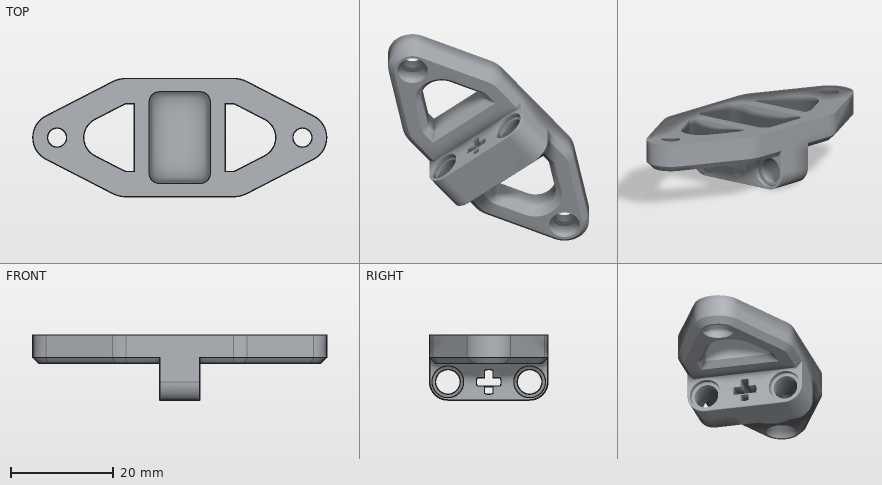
import cadquery as cq
import math

LENGTH = 57.6
WIDTH = 23.2
PLATE_HEIGHT = 5.6
EDGE_CHAMFER = 1.2

SCREW_SPACING = 48.05
SCREW_X = SCREW_SPACING / 2
TIP_RADIUS = LENGTH / 2 - SCREW_X
SHOULDER_X = 10.5
SHOULDER_RADIUS = 5.9

SCREW_DIAMETER = 3.7
SCREW_HEAD_DIAMETER = 6.0
SCREW_SEAT_HEIGHT = 2.0

FRAME_WIDTH = 5.0
WINDOW_TIP_X = 18.8
WINDOW_INNER_X = 8.9

POCKET_LENGTH = 12.0
POCKET_WIDTH = 18.0
POCKET_DEPTH = 4.0
POCKET_CORNER_RADIUS = 2.0

BEAM_HEIGHT = 7.2
BEAM_THICKNESS = 8.0
BEAM_CORNER_RADIUS = BEAM_HEIGHT / 2
BEAM_END_CHAMFER = 0.1
BEAM_AXIS_Z = -BEAM_HEIGHT / 2
PIN_SPACING = 16.0
PIN_DIAMETER = 4.8
PIN_RIM_DIAMETER = 6.2
PIN_RIM_DEPTH = 0.9

AXLE_SPAN = 4.8
AXLE_ARM_WIDTH = 1.6
SHEET_THICKNESS = 0.2

SHOULDER_Y = WIDTH / 2 - SHOULDER_RADIUS
CENTER_DISTANCE = math.hypot(SCREW_X - SHOULDER_X, SHOULDER_Y)
SLOPE_ANGLE = (
    math.atan2(SHOULDER_Y, SCREW_X - SHOULDER_X)
    + math.asin((SHOULDER_RADIUS - TIP_RADIUS) / CENTER_DISTANCE)
)
NORMAL_X = math.sin(SLOPE_ANGLE)
NORMAL_Y = math.cos(SLOPE_ANGLE)


def plate_outline():
    """Rounded hexagon on the plate's bottom plane."""
    tip_x = SCREW_X + TIP_RADIUS * NORMAL_X
    tip_y = TIP_RADIUS * NORMAL_Y
    shoulder_x = SHOULDER_X + SHOULDER_RADIUS * NORMAL_X
    shoulder_y = SHOULDER_Y + SHOULDER_RADIUS * NORMAL_Y
    middle_x = SHOULDER_X + SHOULDER_RADIUS * math.sin(SLOPE_ANGLE / 2)
    middle_y = SHOULDER_Y + SHOULDER_RADIUS * math.cos(SLOPE_ANGLE / 2)
    edge_y = WIDTH / 2
    return (
        cq.Workplane("XY")
        .moveTo(-SHOULDER_X, edge_y)
        .lineTo(SHOULDER_X, edge_y)
        .threePointArc((middle_x, middle_y), (shoulder_x, shoulder_y))
        .lineTo(tip_x, tip_y)
        .threePointArc((LENGTH / 2, 0), (tip_x, -tip_y))
        .lineTo(shoulder_x, -shoulder_y)
        .threePointArc((middle_x, -middle_y), (SHOULDER_X, -edge_y))
        .lineTo(-SHOULDER_X, -edge_y)
        .threePointArc((-middle_x, -middle_y), (-shoulder_x, -shoulder_y))
        .lineTo(-tip_x, -tip_y)
        .threePointArc((-LENGTH / 2, 0), (-tip_x, tip_y))
        .lineTo(-shoulder_x, shoulder_y)
        .threePointArc((-middle_x, middle_y), (-SHOULDER_X, edge_y))
        .close()
    )


def window(side):
    """Opening on one side (+1 or -1), inset from the plate outline by the frame width."""
    corner_radius = SHOULDER_RADIUS - FRAME_WIDTH
    slope_offset = SCREW_X * NORMAL_X + TIP_RADIUS - FRAME_WIDTH
    tip_radius = (slope_offset - WINDOW_TIP_X * NORMAL_X) / (1 - NORMAL_X)
    tip_x = WINDOW_TIP_X - tip_radius * (1 - NORMAL_X)
    tip_y = tip_radius * NORMAL_Y
    corner_x = SHOULDER_X + corner_radius * NORMAL_X
    corner_y = SHOULDER_Y + corner_radius * NORMAL_Y
    middle_x = SHOULDER_X + corner_radius * math.sin(SLOPE_ANGLE / 2)
    middle_y = SHOULDER_Y + corner_radius * math.cos(SLOPE_ANGLE / 2)
    edge_y = WIDTH / 2 - FRAME_WIDTH
    return (
        cq.Workplane("XY")
        .moveTo(side * WINDOW_INNER_X, edge_y)
        .lineTo(side * SHOULDER_X, edge_y)
        .threePointArc((side * middle_x, middle_y), (side * corner_x, corner_y))
        .lineTo(side * tip_x, tip_y)
        .threePointArc((side * WINDOW_TIP_X, 0), (side * tip_x, -tip_y))
        .lineTo(side * corner_x, -corner_y)
        .threePointArc((side * middle_x, -middle_y), (side * SHOULDER_X, -edge_y))
        .lineTo(side * WINDOW_INNER_X, -edge_y)
        .close()
        .extrude(PLATE_HEIGHT)
    )


def screw_hole(side):
    """Stepped screw hole near one tip (+1 or -1) of the plate."""
    shaft = cq.Workplane("XY").center(side * SCREW_X, 0).circle(SCREW_DIAMETER / 2).extrude(PLATE_HEIGHT)
    head = (
        cq.Workplane("XY")
        .center(side * SCREW_X, 0)
        .circle(SCREW_HEAD_DIAMETER / 2)
        .extrude(PLATE_HEIGHT - SCREW_SEAT_HEIGHT)
    )
    return shaft.union(head)


def pocket():
    """Round-cornered recess in the top face."""
    return (
        cq.Workplane("XY")
        .box(POCKET_LENGTH, POCKET_WIDTH, POCKET_DEPTH, centered=(True, True, False))
        .edges("|Z")
        .fillet(POCKET_CORNER_RADIUS)
        .translate((0, 0, PLATE_HEIGHT - POCKET_DEPTH))
    )


def beam():
    """Cross beam with rounded lower corners, rising to the top of the plate's chamfer."""
    return (
        cq.Workplane("XY")
        .box(BEAM_THICKNESS, WIDTH, BEAM_HEIGHT + EDGE_CHAMFER, centered=(True, True, False))
        .edges("|X and <Z")
        .fillet(BEAM_CORNER_RADIUS)
        .faces("<X or >X")
        .chamfer(BEAM_END_CHAMFER)
        .translate((0, 0, -BEAM_HEIGHT))
    )


def cylinder_along_x(diameter, length, center_x, center_y):
    """Cylinder parallel to X at the height of the beam's holes."""
    return (
        cq.Workplane("YZ", origin=(center_x - length / 2, center_y, BEAM_AXIS_Z))
        .circle(diameter / 2)
        .extrude(length)
    )


def pin_hole(center_y):
    """Hole through the beam with a shallow rim recess at both ends."""
    hole = cylinder_along_x(PIN_DIAMETER, BEAM_THICKNESS, 0, center_y)
    rim_x = (BEAM_THICKNESS - PIN_RIM_DEPTH) / 2
    for center_x in (-rim_x, rim_x):
        hole = hole.union(cylinder_along_x(PIN_RIM_DIAMETER, PIN_RIM_DEPTH, center_x, center_y))
    return hole


def axle_hole():
    """Cross-shaped hole through the middle of the beam, its arms ending on a common circle."""
    flat_arm = cq.Workplane("XY").box(BEAM_THICKNESS, AXLE_SPAN, AXLE_ARM_WIDTH)
    upright_arm = cq.Workplane("XY").box(BEAM_THICKNESS, AXLE_ARM_WIDTH, AXLE_SPAN)
    cross = flat_arm.union(upright_arm).translate((0, 0, BEAM_AXIS_Z))
    return cross.intersect(cylinder_along_x(AXLE_SPAN, BEAM_THICKNESS, 0, 0))


def make_mount():
    """Plate and beam in one piece, with all openings."""
    plate = plate_outline().extrude(PLATE_HEIGHT)
    for side in (-1, 1):
        plate = plate.cut(window(side))
    plate = plate.faces("<Z").chamfer(EDGE_CHAMFER)
    body = plate.union(beam()).cut(pocket()).cut(axle_hole())
    for side in (-1, 1):
        body = body.cut(screw_hole(side)).cut(pin_hole(side * PIN_SPACING / 2))
    return body


def make_bridge_sheet():
    """Thin sheet across the lower arm of the axle hole, flush with the floor of the flat arm."""
    top_z = BEAM_AXIS_Z - AXLE_ARM_WIDTH / 2
    return (
        cq.Workplane("XY")
        .box(BEAM_THICKNESS, AXLE_ARM_WIDTH, SHEET_THICKNESS)
        .translate((0, 0, top_z - SHEET_THICKNESS / 2))
    )


mount = make_mount()
bridge_sheet = make_bridge_sheet()

result = cq.Compound.makeCompound([mount.val(), bridge_sheet.val()])